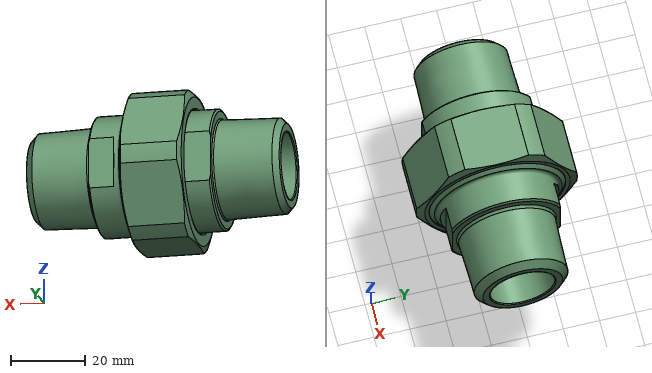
import cadquery as cq
import math

length = 70.0

tip_radius = 13.0
root_radius = 13.5
inlet_chamfer_length = 1.6
outlet_chamfer_length = 1.95
inlet_bore = 18.2
outlet_bore = 18.0
bore_chamfer = 0.3

flange_radius = 33.0 / 2
flange_start = 18.05
flange_chamfer_length = 0.4
flange_chamfer_depth = 0.6
root_fillet_length = 0.4
root_fillet_depth = 0.35
outlet_root_length = 0.85
flat_width = 29.95
outlet_flat_length = 7.0
outlet_flat_runout = 0.4

nut_start = 25.0
nut_end = 42.1
nut_across_flats = 41.0
nut_corner_diameter = 44.65
nut_face_radius = 20.15
nut_chamfer_length = 0.8
nut_lip_length = 2.95
nut_lip_bore = 33.5
nut_lip_chamfer = 0.35

thread_radius = 37.9 / 2
collar_radius = 36.4 / 2
joint_x = 33.6
collar_start = nut_start + nut_lip_length
inlet_flat_length = collar_start - flange_start
thread_face_x = 42.9
thread_end_radius = 17.7
thread_fillet = 0.85


def revolve_about_x(profile):
    """Revolve a profile drawn in (axial, radial) coordinates about the X axis."""
    return profile.close().revolve(360, (0, 0, 0), (1, 0, 0))


def pipe_end(chamfer_length, root_length):
    """Open profile from the tip of a pipe end at X = 0 to the edge of its flange."""
    return (
        cq.Workplane("XY")
        .moveTo(0, 0)
        .lineTo(0, tip_radius - chamfer_length)
        .lineTo(chamfer_length, tip_radius)
        .lineTo(flange_start - root_length, root_radius)
        .lineTo(flange_start, root_radius + root_fillet_depth)
        .lineTo(flange_start, flange_radius - flange_chamfer_depth)
        .lineTo(flange_start + flange_chamfer_length, flange_radius)
    )


def wrench_flats(flat_length, runout):
    """Two opposite cutters for the flange of a pipe end; the far shoulder slopes by runout."""
    flat_end = flange_start + flat_length
    inner = flat_width / 2
    cutter = (
        cq.Workplane("XY")
        .moveTo(flange_start, inner)
        .lineTo(flat_end, inner)
        .lineTo(flat_end + runout, flange_radius)
        .lineTo(flange_start, flange_radius)
        .close()
        .extrude(flange_radius, both=True)
    )
    return cutter.union(cutter.mirror("XZ"))


def bore(diameter, depth):
    """Bore from X = 0 with a chamfered mouth."""
    radius = diameter / 2
    return revolve_about_x(
        cq.Workplane("XY")
        .moveTo(0, 0)
        .lineTo(0, radius + bore_chamfer)
        .lineTo(bore_chamfer, radius)
        .lineTo(depth, radius)
        .lineTo(depth, 0)
    )


def make_inlet_tailpiece():
    """Tailpiece whose collar is trapped behind the lip of the nut."""
    profile = (
        pipe_end(inlet_chamfer_length, root_fillet_length)
        .lineTo(collar_start, flange_radius)
        .lineTo(collar_start, collar_radius)
        .lineTo(joint_x, collar_radius)
        .lineTo(joint_x, 0)
    )
    return revolve_about_x(profile).cut(wrench_flats(inlet_flat_length, 0)).cut(bore(inlet_bore, joint_x))


def make_outlet_tailpiece():
    """Threaded tailpiece, built from its own pipe end and then turned to face +X."""
    face = length - thread_face_x
    thread_chamfer = thread_radius - thread_end_radius
    joint = length - joint_x
    arc_offset = thread_fillet * (1 - math.sqrt(0.5))
    profile = (
        pipe_end(outlet_chamfer_length, outlet_root_length)
        .lineTo(face - thread_fillet, flange_radius)
        .threePointArc(
            (face - arc_offset, flange_radius + arc_offset),
            (face, flange_radius + thread_fillet),
        )
        .lineTo(face, thread_end_radius)
        .lineTo(face + thread_chamfer, thread_radius)
        .lineTo(joint, thread_radius)
        .lineTo(joint, 0)
    )
    flats = wrench_flats(outlet_flat_length, outlet_flat_runout)
    tailpiece = revolve_about_x(profile).cut(flats).cut(bore(outlet_bore, joint))
    return tailpiece.rotate((0, 0, 0), (0, 0, 1), 180).translate((length, 0, 0))


def make_nut():
    """Hexagonal nut with rounded, chamfered corners, a lip and a thread bore."""
    corner_radius = nut_corner_diameter / 2
    hexagon = (
        cq.Workplane("YZ", origin=(nut_start, 0, 0))
        .polygon(6, nut_across_flats / math.cos(math.pi / 6))
        .extrude(nut_end - nut_start)
    )
    turned_envelope = revolve_about_x(
        cq.Workplane("XY")
        .moveTo(nut_start, 0)
        .lineTo(nut_start, nut_face_radius)
        .lineTo(nut_start + nut_chamfer_length, corner_radius)
        .lineTo(nut_end - nut_chamfer_length, corner_radius)
        .lineTo(nut_end, nut_face_radius)
        .lineTo(nut_end, 0)
    )
    lip_radius = nut_lip_bore / 2
    cavity = revolve_about_x(
        cq.Workplane("XY")
        .moveTo(nut_start, 0)
        .lineTo(nut_start, lip_radius + nut_lip_chamfer)
        .lineTo(nut_start + nut_lip_chamfer, lip_radius)
        .lineTo(collar_start, lip_radius)
        .lineTo(collar_start, thread_radius)
        .lineTo(nut_end, thread_radius)
        .lineTo(nut_end, 0)
    )
    return hexagon.intersect(turned_envelope).cut(cavity)


inlet_tailpiece = make_inlet_tailpiece()
outlet_tailpiece = make_outlet_tailpiece()
nut = make_nut()

result = cq.Compound.makeCompound([inlet_tailpiece.val(), outlet_tailpiece.val(), nut.val()])